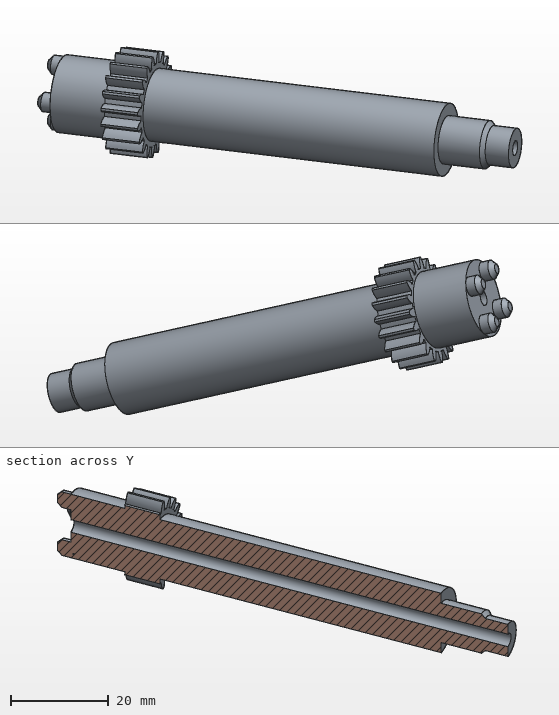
import cadquery as cq
import math

total_length = 101.0
pin_length = 3.0
head_length = 12.0
gear_width = 8.0
journal_length = 9.0
step_chamfer = 0.9
tip_length = 5.0

head_diameter = 16.1
shaft_diameter = 15.0
journal_diameter = 10.0
tip_diameter = journal_diameter - 2 * step_chamfer
bore_diameter = 3.0

pin_count = 4
pin_diameter = 4.0
pin_chamfer = 1.0
pin_circle_radius = (head_diameter - pin_diameter) / 2

tooth_count = 20
module = 1.0
addendum = module
dedendum = 1.25 * module
pitch_radius = module * tooth_count / 2
tip_radius = pitch_radius + addendum
root_radius = pitch_radius - dedendum
tip_thickness = 0.5
pitch_thickness = 1.4
root_thickness = 1.7

gear_start = pin_length + head_length
tip_start = total_length - tip_length
shaft_end = tip_start - step_chamfer - journal_length


def polar(radius, angle):
    return (radius * math.cos(angle), radius * math.sin(angle))


def gear_outline():
    """Teeth with arched flanks running straight into the root circle."""
    pitch_angle = 2 * math.pi / tooth_count
    tip_half = tip_thickness / 2 / tip_radius
    pitch_half = pitch_thickness / 2 / pitch_radius
    root_half = root_thickness / 2 / root_radius

    outline = cq.Workplane("YZ").moveTo(*polar(root_radius, pitch_angle / 2 - root_half))
    for tooth in range(tooth_count):
        centre = (tooth + 0.5) * pitch_angle
        space_centre = centre + pitch_angle / 2
        next_root = centre + pitch_angle - root_half
        outline = (
            outline
            .threePointArc(polar(pitch_radius, centre - pitch_half), polar(tip_radius, centre - tip_half))
            .threePointArc(polar(tip_radius, centre), polar(tip_radius, centre + tip_half))
            .threePointArc(polar(pitch_radius, centre + pitch_half), polar(root_radius, centre + root_half))
            .threePointArc(polar(root_radius, space_centre), polar(root_radius, next_root))
        )
    return outline.close()


def cylinder(start, end, diameter):
    return cq.Workplane("YZ").workplane(offset=start).circle(diameter / 2).extrude(end - start)


def stepped_shaft():
    head = cylinder(pin_length, gear_start, head_diameter)
    shaft = cylinder(gear_start, shaft_end, shaft_diameter)
    journal = cylinder(shaft_end, tip_start, journal_diameter).faces(">X").chamfer(step_chamfer)
    tip = cylinder(tip_start, total_length, tip_diameter)
    return head.union(shaft).union(journal).union(tip)


def drive_pins():
    return (
        cq.Workplane("YZ")
        .polarArray(pin_circle_radius, 0, 360, pin_count)
        .circle(pin_diameter / 2)
        .extrude(pin_length)
        .faces("<X")
        .chamfer(pin_chamfer)
    )


gear = gear_outline().extrude(gear_width).translate((gear_start, 0, 0))
bore = cylinder(0, total_length, bore_diameter)

result = stepped_shaft().union(gear).union(drive_pins()).cut(bore)